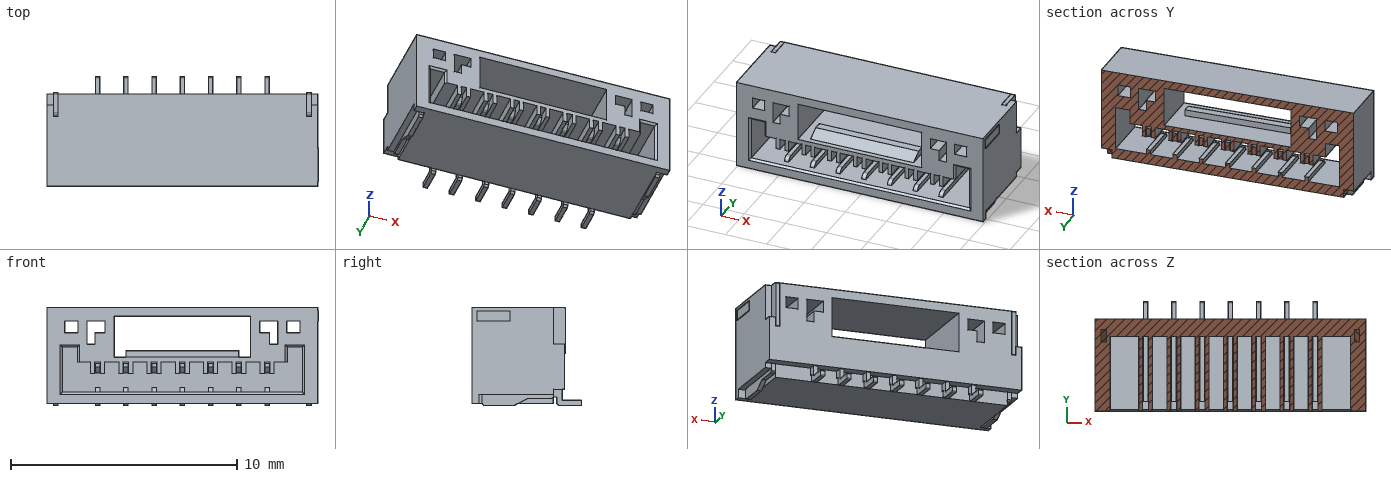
import cadquery as cq
import math


overall_width = 12.01
overall_depth = 4.85
housing_width = 11.97
housing_depth = 4.1
housing_height = 4.25
foot_drop = 0.1
half_width = housing_width / 2

undercut_front = 3.6
undercut_height = 0.62

cavity_back = 3.3
cavity_side_wall = 0.68
cavity_floor = 0.5
cavity_ceiling = 1.84
corner_ceiling = 2.5
corner_width = 0.66
lead_in = 0.1
cavity_half_width = half_width - cavity_side_wall
corner_inner = cavity_half_width - corner_width

window_half_width = 3.0
window_floor = 2.05
window_ceiling = 3.85
ramp_half_width = 2.5
ramp_height = 0.29
ramp_start = 0.25
ramp_run = 0.56
ramp_flat = 0.38

key_top = 3.64
key_bottom = 3.13
key_leg_bottom = 2.63
square_key_outer = 0.79
square_key_inner = 1.37
l_key_outer = 1.78
l_key_leg_inner = 2.13
l_key_inner = 2.56

terminal_count = 7
terminal_pitch = 1.25
metal_width = 0.2
rib_pair_width = 0.61
rib_gap = 0.25
rib_bottom = 1.33
arm_tip = 0.43
lower_arm_height = 0.2
lower_arm_radius = 0.29
upper_arm_bottom = 1.36
upper_arm_top = 1.77
upper_arm_nose = 0.16
upper_arm_round = 0.12
tail_thickness = 0.25
tail_leg_back = 4.0
tail_stub_bottom = 0.29
tail_heel_chamfer = 0.1
tail_end_round = 0.05

nail_inset = 0.29
nail_front = 0.45
nail_spine_front = 3.09
nail_back = housing_depth + 0.05
nail_tab_bottom = 2.22
nail_arm_top = 0.4
nail_web_bottom = 0.22
nail_foot_back = 1.86
nail_ramp_back = 2.45
nail_web_back = 3.51
nail_heel = 0.07
nail_toe = 0.1
nail_front_round = 0.18
nail_back_round = 0.07
notch_bottom = 2.63
recess_front = 0.32

pad_front = 0.22
pad_length = 1.48
pad_bottom = 3.64
pad_height = 0.46


def box(x0, x1, y0, y1, z0, z1):
    """Block between two opposite corners."""
    return cq.Workplane("XY").box(x1 - x0, y1 - y0, z1 - z0, centered=False).translate((x0, y0, z0))


def through_prism(points, depth):
    """(X, Z) outline run backward from the mating face."""
    return cq.Workplane("XZ").polyline(points).close().extrude(-depth)


def side_prism(points, x_center, width):
    """(Y, Z) outline with its width centred on x_center."""
    return cq.Workplane("YZ", origin=(x_center - width / 2, 0, 0)).polyline(points).close().extrude(width)


def mirror_x(body):
    return body.mirror("YZ")


def both_sides(body):
    return body.union(mirror_x(body))


def lead_in_cut(x0, x1, z0, z1):
    """Opening that widens from the given rectangle to the mating face."""
    center = ((x0 + x1) / 2, (z0 + z1) / 2)
    width = x1 - x0
    height = z1 - z0
    return (
        cq.Workplane("XZ")
        .center(*center)
        .rect(width + 2 * lead_in, height + 2 * lead_in)
        .workplane(offset=-lead_in)
        .rect(width, height)
        .loft(ruled=True)
    )


def mating_cavity():
    """Wide socket with raised end pockets; its central ceiling keeps a sharp edge."""
    main = box(-cavity_half_width, cavity_half_width, 0, cavity_back, cavity_floor, cavity_ceiling)
    pocket = box(corner_inner, cavity_half_width, 0, cavity_back, cavity_floor, corner_ceiling)
    lower_lead = lead_in_cut(-cavity_half_width, cavity_half_width, cavity_floor, cavity_ceiling)
    below_ceiling = box(-half_width, half_width, 0, lead_in, 0, cavity_ceiling)
    pocket_lead = lead_in_cut(corner_inner, cavity_half_width, cavity_floor, corner_ceiling)
    above_ceiling = box(0, half_width, 0, lead_in, cavity_ceiling, housing_height)
    cavity = main.union(both_sides(pocket))
    cavity = cavity.union(lower_lead.intersect(below_ceiling))
    return cavity.union(both_sides(pocket_lead.intersect(above_ceiling)))


def window():
    return box(-window_half_width, window_half_width, 0, housing_depth, window_floor, window_ceiling)


def window_ramp():
    profile = [
        (ramp_start, window_floor),
        (ramp_start + ramp_run, window_floor + ramp_height),
        (ramp_start + ramp_run + ramp_flat, window_floor + ramp_height),
        (ramp_start + ramp_run + ramp_flat, window_floor),
    ]
    return side_prism(profile, 0, 2 * ramp_half_width)


def key_holes():
    """A square and an L-shaped through hole on each side of the window."""
    square = box(
        half_width - square_key_inner, half_width - square_key_outer,
        0, housing_depth, key_bottom, key_top,
    )
    l_hole = through_prism(
        [
            (half_width - l_key_outer, key_top),
            (half_width - l_key_inner, key_top),
            (half_width - l_key_inner, key_bottom),
            (half_width - l_key_leg_inner, key_bottom),
            (half_width - l_key_leg_inner, key_leg_bottom),
            (half_width - l_key_outer, key_leg_bottom),
        ],
        housing_depth,
    )
    return both_sides(square.union(l_hole))


def rib_pair(x):
    """Two ribs hanging from the cavity ceiling beside one terminal."""
    ribs = box(x - rib_pair_width / 2, x + rib_pair_width / 2, 0, cavity_back, rib_bottom, cavity_ceiling)
    gap = box(x - rib_gap / 2, x + rib_gap / 2, 0, cavity_back, rib_bottom, cavity_ceiling)
    return ribs.cut(gap)


def lower_arm(x):
    """Arm on the cavity floor whose top curves down to the floor at the tip."""
    arm_top = cavity_floor + lower_arm_height
    sweep = math.acos(1 - lower_arm_height / lower_arm_radius)
    arc_end = arm_tip + lower_arm_radius * math.sin(sweep)
    arc_middle = (
        arc_end - lower_arm_radius * math.sin(sweep / 2),
        arm_top - lower_arm_radius * (1 - math.cos(sweep / 2)),
    )
    return (
        cq.Workplane("YZ", origin=(x - metal_width / 2, 0, 0))
        .moveTo(arm_tip, cavity_floor)
        .threePointArc(arc_middle, (arc_end, arm_top))
        .lineTo(cavity_back, arm_top)
        .lineTo(cavity_back, cavity_floor)
        .close()
        .extrude(metal_width)
    )


def upper_arm(x):
    """Arm between the ribs with a 45 degree lead-in that rounds into its underside."""
    slope = upper_arm_top - upper_arm_nose - upper_arm_bottom
    arm = side_prism(
        [
            (arm_tip, upper_arm_top),
            (cavity_back, upper_arm_top),
            (cavity_back, upper_arm_bottom),
            (arm_tip + slope, upper_arm_bottom),
            (arm_tip, upper_arm_top - upper_arm_nose),
        ],
        x, metal_width,
    )
    slope_end = cq.selectors.NearestToPointSelector((x, arm_tip + slope, upper_arm_bottom))
    return arm.edges(slope_end).fillet(upper_arm_round)


def solder_tail(x):
    """Stub out of the rear wall, leg and foot."""
    leg_front = tail_leg_back - tail_thickness
    tail = side_prism(
        [
            (undercut_front, undercut_height),
            (tail_leg_back, undercut_height),
            (tail_leg_back, tail_thickness - foot_drop),
            (overall_depth, tail_thickness - foot_drop),
            (overall_depth, -foot_drop),
            (leg_front, -foot_drop),
            (leg_front, tail_stub_bottom),
            (undercut_front, tail_stub_bottom),
        ],
        x, metal_width,
    )
    tail = tail.faces(">Y").edges("|X").fillet(tail_end_round)
    heel = cq.selectors.NearestToPointSelector((x, leg_front, -foot_drop))
    return tail.edges(heel).chamfer(tail_heel_chamfer)


def nail_plate(points):
    """(Y, Z) outline as a plate in the nail position on the +X side."""
    return side_prism(points, half_width - nail_inset - metal_width / 2, metal_width)


def nail_slot():
    """Slot that holds the upright spine of the nail."""
    return nail_plate(
        [
            (nail_spine_front, nail_arm_top),
            (nail_spine_front, housing_height),
            (housing_depth, housing_height),
            (housing_depth, nail_tab_bottom),
            (undercut_front, nail_tab_bottom),
            (undercut_front, nail_arm_top),
        ]
    )


def nail_openings():
    """Slot, rear corner notch and underside recess for the nail on the +X side."""
    plate_outer = half_width - nail_inset
    plate_inner = plate_outer - metal_width
    notch = box(plate_outer, half_width, undercut_front, housing_depth, notch_bottom, housing_height)
    recess = box(plate_inner, half_width, recess_front, undercut_front, 0, nail_arm_top)
    return nail_slot().union(notch).union(recess)


def fitting_nail():
    """Flat nail on the +X side: bottom arm with a foot, upright spine, tab proud at the rear."""
    nail = nail_plate(
        [
            (nail_front, nail_arm_top),
            (nail_spine_front, nail_arm_top),
            (nail_spine_front, housing_height),
            (nail_back, housing_height),
            (nail_back, nail_tab_bottom),
            (undercut_front, nail_tab_bottom),
            (undercut_front, nail_web_bottom + nail_heel),
            (nail_web_back, nail_web_bottom),
            (nail_ramp_back, nail_web_bottom),
            (nail_foot_back, -foot_drop),
            (nail_front + nail_toe, -foot_drop),
            (nail_front, 0),
        ]
    )
    nail = nail.edges("|X and >Y and >Z").fillet(nail_back_round)
    return nail.faces(">Z").edges("|X and <Y").fillet(nail_front_round)


def build_housing():
    body = box(-half_width, half_width, 0, housing_depth, 0, housing_height)
    body = body.cut(box(-half_width, half_width, undercut_front, housing_depth, 0, undercut_height))
    body = body.cut(mating_cavity())
    body = body.cut(window()).union(window_ramp())
    body = body.cut(key_holes())
    body = body.cut(both_sides(nail_openings()))
    for index in range(terminal_count):
        x = (index - (terminal_count - 1) / 2) * terminal_pitch
        body = body.union(rib_pair(x))
        body = body.union(lower_arm(x)).union(upper_arm(x)).union(solder_tail(x))
    side_pad = box(
        half_width, overall_width - half_width,
        pad_front, pad_front + pad_length, pad_bottom, pad_bottom + pad_height,
    )
    return body.union(side_pad)


housing = build_housing()
right_nail = fitting_nail()
nails = [right_nail, mirror_x(right_nail)]

result = cq.Compound.makeCompound([housing.val(), *[nail.val() for nail in nails]])